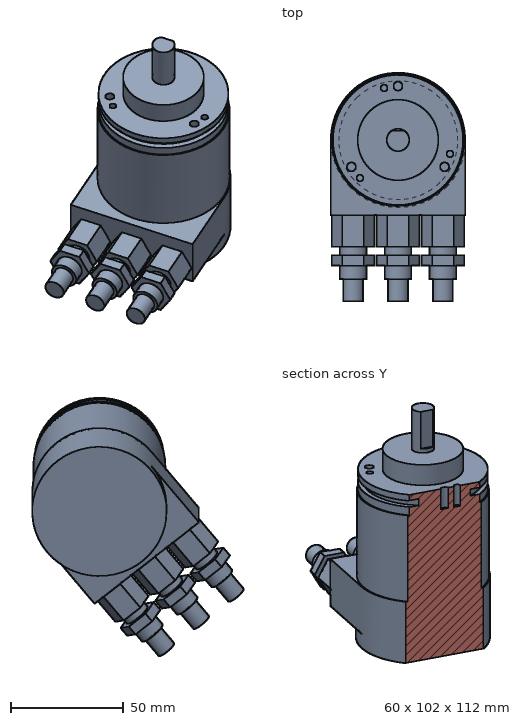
import cadquery as cq

base_diameter = 60
base_top = 30
body_diameter = 59
body_top = 72
flange_diameter = 58
flange_top = 82
groove_diameter = 53
groove_bottom = 76
groove_top = 79
boss_diameter = 36
boss_top = 92

shaft_diameter = 10
shaft_top = 112
flat_distance = 4
flat_gap = 2
flat_bottom = boss_top + flat_gap

block_bottom = 7
block_front = 33.5

hole_circle_radius = 24
hole_count = 3
hole_depth = 10
large_hole_diameter = 4
large_hole_angle = 90
small_hole_diameter = 3
small_hole_offset = 15
small_hole_angle = large_hole_angle + small_hole_offset

gland_spacing = 20
gland_count = 3
gland_height = 15
hex_sides = 6
hex_corner_diameter = 19.1
neck_diameter = 12
cable_diameter = 9
hex_end = 47.7
nut_start = 51.3
nut_end = 56
neck_end = 62
cable_end = 72


def disc(diameter, bottom, top):
    """Vertical cylinder on the shaft axis between two heights."""
    return cq.Workplane("XY").workplane(offset=bottom).circle(diameter / 2).extrude(top - bottom)


def make_housing():
    housing = disc(base_diameter, 0, base_top)
    housing = housing.union(disc(body_diameter, base_top, body_top))
    housing = housing.union(disc(flange_diameter, body_top, groove_bottom))
    housing = housing.union(disc(groove_diameter, groove_bottom, groove_top))
    housing = housing.union(disc(flange_diameter, groove_top, flange_top))
    return housing.union(disc(boss_diameter, flange_top, boss_top))


def make_shaft():
    shaft = disc(shaft_diameter, boss_top, shaft_top)
    flat_cutter = (
        cq.Workplane("XY")
        .workplane(offset=flat_bottom)
        .center(0, flat_distance + shaft_diameter / 2)
        .rect(shaft_diameter, shaft_diameter)
        .extrude(shaft_top - flat_bottom)
    )
    return shaft.cut(flat_cutter)


def make_block():
    return (
        cq.Workplane("XY")
        .workplane(offset=block_bottom)
        .center(0, -block_front / 2)
        .rect(base_diameter, block_front)
        .extrude(base_top - block_bottom)
    )


def make_holes(diameter, start_angle):
    """Ring of blind holes sunk into the flange face."""
    return (
        cq.Workplane("XY")
        .workplane(offset=flange_top - hole_depth)
        .polarArray(hole_circle_radius, start_angle, 360, hole_count)
        .circle(diameter / 2)
        .extrude(hole_depth)
    )


def gland_plane(x, start):
    """Workplane facing -Y, centred on a gland axis at a distance from the shaft axis."""
    return cq.Workplane("XZ", origin=(x, -start, gland_height))


def make_gland(x):
    hex_body = gland_plane(x, block_front).polygon(hex_sides, hex_corner_diameter).extrude(hex_end - block_front)
    neck = gland_plane(x, hex_end).circle(neck_diameter / 2).extrude(neck_end - hex_end)
    nut = gland_plane(x, nut_start).polygon(hex_sides, hex_corner_diameter).extrude(nut_end - nut_start)
    cable = gland_plane(x, neck_end).circle(cable_diameter / 2).extrude(cable_end - neck_end)
    return hex_body.union(neck).union(nut).union(cable)


result = make_housing().union(make_shaft()).union(make_block())
result = result.cut(make_holes(large_hole_diameter, large_hole_angle))
result = result.cut(make_holes(small_hole_diameter, small_hole_angle))
for index in range(gland_count):
    gland_x = (index - (gland_count - 1) / 2) * gland_spacing
    result = result.union(make_gland(gland_x))